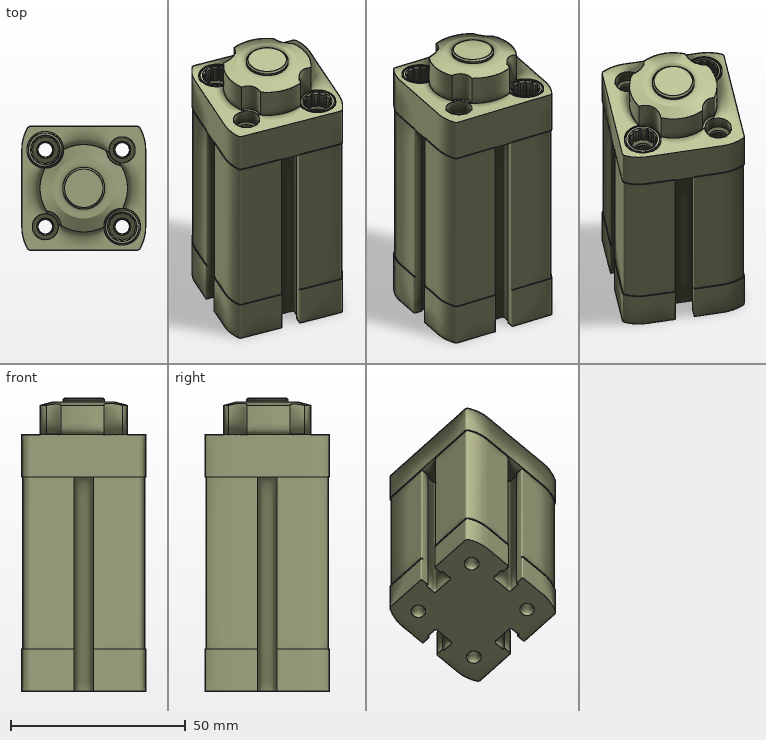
import cadquery as cq
import math

total_height = 84.0
cap_height = 12.1
plate_top = 73.5
tube_top = plate_top - cap_height
cone_bottom = 81.9
boss_top = 82.9
relief_floor = plate_top + 0.25

cap_width = 35.5
tube_inset = 0.25
side_flat = 22.0
corner_arc_radius = 12.8
edge_radius = 1.0

boss_diameter = 25.0
boss_top_diameter = 17.5
rod_diameter = 12.0
rod_chamfer = 0.5
rod_bottom = tube_top

hole_offset = 11.0
hole_diameter = 4.1
hole_chamfer = 0.4
counterbore_diameter = 7.5
counterbore_depth = 3.9
relief_diameter = 9.0

socket_ring_diameter = 10.5
ring_chamfer = 0.4
socket_diameter = 7.5
socket_depth = 4.8
socket_chamfer_diameter = 8.4
serration_count = 12
serration_depth = 0.3

slot_width = 5.5
slot_undercut = 0.6
slot_mouth_radius = 0.3
slot_root_radius = 0.6
lip_depth = 2.5
slot_depth = 6.0
cutter_overshoot = 0.8

plain_corners = [(-hole_offset, -hole_offset), (hole_offset, hole_offset)]
socket_corners = [(-hole_offset, hole_offset), (hole_offset, -hole_offset)]


def cylinder(diameter, bottom, top, center=(0, 0)):
    disk = cq.Workplane("XY").workplane(offset=bottom).center(*center).circle(diameter / 2)
    return disk.extrude(top - bottom)


def cone(bottom_diameter, top_diameter, bottom, top, center=(0, 0)):
    solid = cq.Solid.makeCone(bottom_diameter / 2, top_diameter / 2, top - bottom)
    return cq.Workplane(obj=solid.translate(cq.Vector(center[0], center[1], bottom)))


def rounded_block(inset, bottom, top):
    """Square block whose four corners are large arcs running out of the X sides."""
    half = cap_width / 2 - inset
    flat = side_flat / 2
    radius = corner_arc_radius - inset
    arc_center_x = half - radius

    def on_arc(y):
        return arc_center_x + math.sqrt(radius ** 2 - (y - flat) ** 2)

    corner_x = on_arc(half)
    middle_y = (flat + half) / 2
    middle_x = on_arc(middle_y)
    outline = (
        cq.Workplane("XY").workplane(offset=bottom)
        .moveTo(half, -flat).lineTo(half, flat)
        .threePointArc((middle_x, middle_y), (corner_x, half)).lineTo(-corner_x, half)
        .threePointArc((-middle_x, middle_y), (-half, flat)).lineTo(-half, -flat)
        .threePointArc((-middle_x, -middle_y), (-corner_x, -half)).lineTo(corner_x, -half)
        .threePointArc((middle_x, -middle_y), (half, -flat)).close()
    )
    block = outline.extrude(top - bottom)
    return block.faces("<Y or >Y").edges("|Z").fillet(edge_radius)


def slot_cutter(inset, bottom, top):
    """T-slot with rounded mouth and roots, opening through the +X face of a block."""
    outer = cap_width / 2
    face = outer - inset
    mouth = slot_width / 2
    wide = mouth + slot_undercut
    lip_back = outer - lip_depth
    floor = outer - slot_depth
    mouth_tangent = mouth + slot_mouth_radius
    arc_sag = 1 - math.sqrt(0.5)
    mouth_bulge = slot_mouth_radius * arc_sag
    root_bulge = slot_root_radius * arc_sag
    upper_half = (
        cq.Workplane("XY").workplane(offset=bottom)
        .moveTo(floor, 0).lineTo(floor, wide - slot_root_radius)
        .threePointArc((floor + root_bulge, wide - root_bulge), (floor + slot_root_radius, wide))
        .lineTo(lip_back, wide).lineTo(lip_back, mouth).lineTo(face - slot_mouth_radius, mouth)
        .threePointArc((face - mouth_bulge, mouth + mouth_bulge), (face, mouth_tangent))
        .lineTo(outer + cutter_overshoot, mouth_tangent).lineTo(outer + cutter_overshoot, 0)
    )
    return upper_half.mirrorX().extrude(top - bottom)


def slotted_block(inset, bottom, top):
    block = rounded_block(inset, bottom, top)
    cutter = slot_cutter(inset, bottom, top)
    for side in range(4):
        block = block.cut(cutter.rotate((0, 0, 0), (0, 0, 1), 90 * side))
    return block


def make_boss():
    straight = cylinder(boss_diameter, plate_top, cone_bottom)
    return straight.union(cone(boss_diameter, boss_top_diameter, cone_bottom, boss_top))


def through_hole(center, seat):
    """Through hole with its countersunk mouth at height seat."""
    countersink = cone(hole_diameter, hole_diameter + 2 * hole_chamfer, seat - hole_chamfer, seat, center)
    return cylinder(hole_diameter, 0, seat, center).union(countersink)


def plain_corner_cutter(center):
    seat = plate_top - counterbore_depth
    relief = cylinder(relief_diameter, relief_floor, boss_top, center)
    counterbore = cylinder(counterbore_diameter, seat, boss_top, center)
    return relief.union(counterbore).union(through_hole(center, seat))


def serrated_socket(center, bottom, top):
    """Round socket with V-shaped serrations, each as wide as the land beside it."""
    land = socket_diameter / 2
    tip = land + serration_depth
    pitch = 2 * math.pi / serration_count
    socket = cq.Workplane("XY").workplane(offset=bottom).center(*center)
    socket = socket.moveTo(land * math.cos(-pitch / 4), land * math.sin(-pitch / 4))
    for index in range(serration_count):
        angle = index * pitch
        groove_end = angle + pitch / 4
        land_middle = angle + pitch / 2
        land_end = angle + 3 * pitch / 4
        socket = socket.lineTo(tip * math.cos(angle), tip * math.sin(angle))
        socket = socket.lineTo(land * math.cos(groove_end), land * math.sin(groove_end))
        socket = socket.threePointArc(
            (land * math.cos(land_middle), land * math.sin(land_middle)),
            (land * math.cos(land_end), land * math.sin(land_end)),
        )
    return socket.close().extrude(top - bottom)


def socket_corner_cutter(center):
    seat = plate_top - socket_depth
    relief = cylinder(socket_ring_diameter, plate_top, boss_top, center)
    groove_bottom = plate_top - ring_chamfer
    groove = cylinder(socket_ring_diameter, groove_bottom, plate_top, center).cut(
        cone(socket_ring_diameter, socket_ring_diameter - 2 * ring_chamfer, groove_bottom, plate_top, center)
    )
    chamfer_depth = (socket_chamfer_diameter - socket_diameter) / 2
    chamfer = cone(socket_diameter, socket_chamfer_diameter, plate_top - chamfer_depth, plate_top, center)
    socket = serrated_socket(center, seat, plate_top).union(chamfer)
    return relief.union(groove).union(socket).union(through_hole(center, seat))


def make_housing():
    bottom_cap = slotted_block(0, 0, cap_height)
    tube = slotted_block(tube_inset, cap_height, tube_top)
    top_cap = rounded_block(0, tube_top, plate_top)
    housing = bottom_cap.union(tube).union(top_cap).union(make_boss())
    for center in plain_corners:
        housing = housing.cut(plain_corner_cutter(center))
    for center in socket_corners:
        housing = housing.cut(socket_corner_cutter(center))
    return housing.cut(cylinder(rod_diameter, rod_bottom, boss_top))


def make_rod():
    return cylinder(rod_diameter, rod_bottom, total_height).faces(">Z").chamfer(rod_chamfer)


housing = make_housing()
rod = make_rod()
result = cq.Compound.makeCompound([housing.solids().val(), rod.solids().val()])